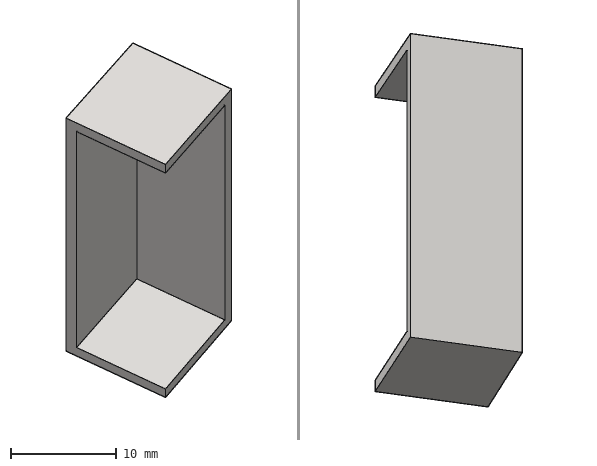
import cadquery as cq

width = 11.2
depth = 11.7
height = 32.6

wall = 1.2
back_wall = 1.2
draft = 0.1


def drafted_block(front_y, back_y, left, half_height, lean):
    """Block open-ended at +X whose left, top and bottom faces lean inward toward the back."""
    def section(y, inset):
        half = half_height - inset
        points = [(left + inset, -half), (width, -half), (width, half), (left + inset, half)]
        return cq.Wire.makePolygon([cq.Vector(x, y, z) for x, z in points], close=True)

    return cq.Workplane(cq.Solid.makeLoft([section(front_y, 0), section(back_y, lean)], True))


body = drafted_block(0, depth, 0, height / 2, draft)
cavity = drafted_block(0, depth - back_wall, wall, height / 2 - wall, draft)

result = body.cut(cavity)